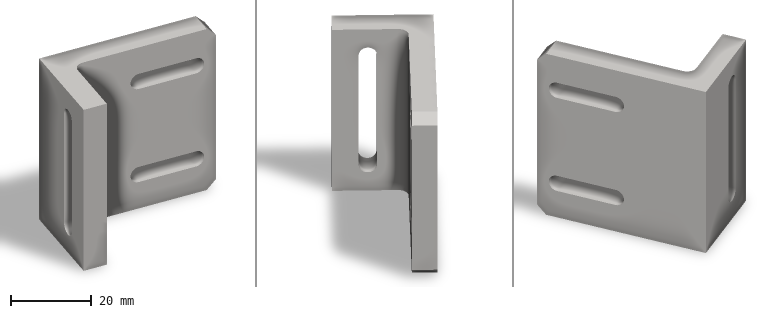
import cadquery as cq

width = 25.4
depth = 45.7
height = 48.25
thickness = 6.35
inner_fillet = 2.55
corner_chamfer = 2.5

slot_width = 4.55
front_slot_length = 37.35
front_slot_x = 16.45
side_slot_length = 20.3
side_slot_edge_gap = 3.25
side_slot_spacing = 27.9
side_slot_y = depth - side_slot_edge_gap - side_slot_length / 2

side_plate = cq.Workplane("XY").box(thickness, depth, height, centered=False)
front_plate = cq.Workplane("XY").box(width, thickness, height, centered=False)

side_plate = side_plate.faces(">Y").edges("|X").chamfer(corner_chamfer)

inner_corner = cq.NearestToPointSelector((thickness, thickness, height / 2))
bracket = side_plate.union(front_plate).edges("|Z").edges(inner_corner).fillet(inner_fillet)

front_slot = (
    cq.Workplane("XZ")
    .center(front_slot_x, height / 2)
    .slot2D(front_slot_length, slot_width, 90)
    .extrude(-thickness)
)

side_slots = (
    cq.Workplane("YZ")
    .center(side_slot_y, height / 2)
    .pushPoints([(0, -side_slot_spacing / 2), (0, side_slot_spacing / 2)])
    .slot2D(side_slot_length, slot_width)
    .extrude(thickness)
)

result = bracket.cut(front_slot).cut(side_slots)